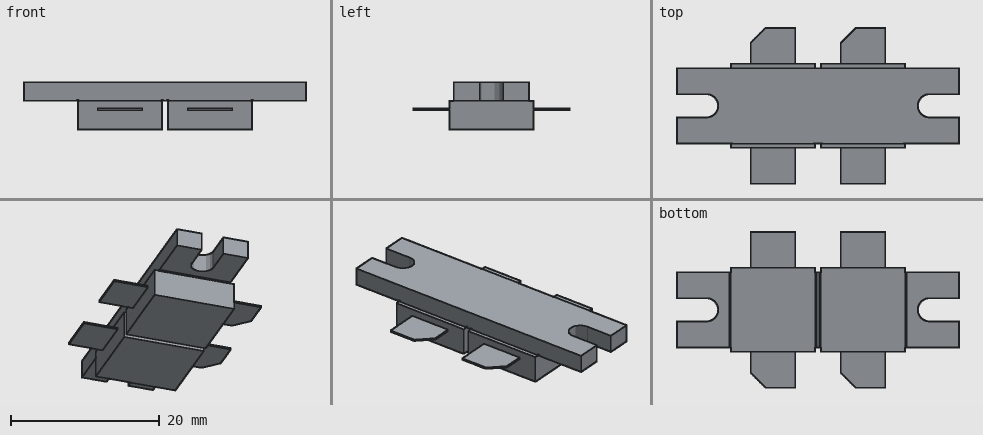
import cadquery as cq

flange_length = 38.0
flange_width = 10.16
flange_thickness = 2.54

slot_width = 3.1
slot_depth = 5.55

body_side = 11.36
body_gap = 0.76
total_height = 6.4

lead_span = 21.0
lead_width = 6.02
lead_thickness = 0.23
lead_drop = 1.02
lead_corner_cut = 2.03

groove_diameter = 0.38
groove_depth = 0.127

flange_bottom = total_height - flange_thickness
groove_axis = flange_bottom + groove_depth - groove_diameter / 2
lead_top = flange_bottom - lead_drop
lead_bottom = lead_top - lead_thickness
body_offset = (body_side + body_gap) / 2
body_centers = (-body_offset, body_offset)


def make_slot(end):
    """Cutter for the slot at the -X (end = -1) or +X (end = 1) flange end."""
    cutter_length = 2 * slot_depth
    return (
        cq.Workplane("XY", origin=(end * flange_length / 2, 0, flange_bottom))
        .slot2D(cutter_length, slot_width)
        .extrude(flange_thickness)
    )


def make_groove(x):
    """Cylindrical cutter along Y, its axis just below the flange underside."""
    return (
        cq.Workplane("XZ", origin=(x, flange_width / 2, groove_axis))
        .circle(groove_diameter / 2)
        .extrude(flange_width)
    )


def make_flange():
    """Plate with the end slots and a groove along every body edge."""
    flange = (
        cq.Workplane("XY", origin=(0, 0, flange_bottom))
        .rect(flange_length, flange_width)
        .extrude(flange_thickness)
    )
    for end in (-1, 1):
        flange = flange.cut(make_slot(end))
    for x in body_centers:
        for side in (-1, 1):
            flange = flange.cut(make_groove(x + side * body_side / 2))
    return flange


def make_body(x):
    """Square block from the package bottom up to the flange."""
    return (
        cq.Workplane("XY", origin=(x, 0, 0))
        .rect(body_side, body_side)
        .extrude(flange_bottom)
    )


def make_leads(x):
    """Both leads of one body as a single strip running through it along Y."""
    half_width = lead_width / 2
    half_span = lead_span / 2
    return (
        cq.Workplane("XY", origin=(x, 0, lead_bottom))
        .moveTo(-half_width, -half_span)
        .lineTo(half_width, -half_span)
        .lineTo(half_width, half_span)
        .lineTo(-half_width + lead_corner_cut, half_span)
        .lineTo(-half_width, half_span - lead_corner_cut)
        .close()
        .extrude(lead_thickness)
    )


result = make_flange()
for center in body_centers:
    result = result.union(make_body(center)).union(make_leads(center))